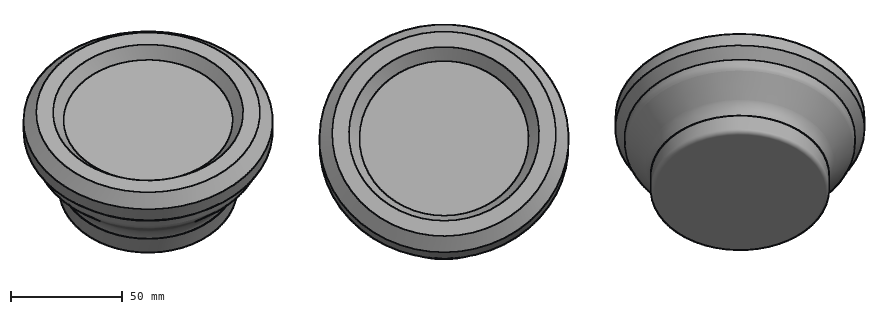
import cadquery as cq
import math

total_height = 50.0

foot_radius = 80.0 / 2
foot_height = 10.0
foot_fillet = 2.0
neck_radius = 79.6 / 2
neck_height = 1.0
flare_angle = math.radians(40)
neck_fillet = 10.0
rim_radius = 103.0 / 2
rim_fillet = 4.0
seat_height = 33.2
dish_depth = 5.0
dish_floor_radius = 37.8

ring_radius = 111.46 / 2
ring_top_inner_radius = 42.5
ring_top_outer_radius = 50.0
ring_band_bottom = 38.0
ring_band_top = 45.0

dish_floor_height = total_height - dish_depth


def make_base():
    """Revolved foot and flared bowl, with a boss that fills the ring's bore."""
    neck_top = foot_height + neck_height

    neck_arc_center = (neck_radius + neck_fillet, neck_top)

    def neck_arc_point(angle):
        r = neck_arc_center[0] - neck_fillet * math.cos(angle)
        return r, neck_top + neck_fillet * math.sin(angle)

    rim_arc_radius_center = rim_radius - rim_fillet
    flare_start = neck_arc_point(flare_angle)
    flare_end_radius = rim_arc_radius_center + rim_fillet * math.cos(flare_angle)
    flare_rise = (flare_end_radius - flare_start[0]) / math.tan(flare_angle)
    flare_end = (flare_end_radius, flare_start[1] + flare_rise)
    rim_arc_height = flare_end[1] + rim_fillet * math.sin(flare_angle)

    def rim_arc_point(angle):
        r = rim_arc_radius_center + rim_fillet * math.cos(angle)
        return r, rim_arc_height - rim_fillet * math.sin(angle)

    fillet_inset = foot_fillet * (1 - math.sqrt(0.5))
    return (
        cq.Workplane("XZ")
        .moveTo(0, 0)
        .lineTo(foot_radius - foot_fillet, 0)
        .threePointArc((foot_radius - fillet_inset, fillet_inset), (foot_radius, foot_fillet))
        .lineTo(foot_radius, foot_height)
        .lineTo(neck_radius, foot_height)
        .lineTo(neck_radius, neck_top)
        .threePointArc(neck_arc_point(flare_angle / 2), flare_start)
        .lineTo(*flare_end)
        .threePointArc(rim_arc_point(flare_angle / 2), rim_arc_point(0))
        .lineTo(rim_radius, seat_height)
        .lineTo(dish_floor_radius, seat_height)
        .lineTo(dish_floor_radius, dish_floor_height)
        .lineTo(0, dish_floor_height)
        .close()
        .revolve(360, (0, 0, 0), (0, 1, 0))
    )


def make_ring():
    """Revolved ring that sits on the base's seat, around its boss."""
    section = [
        (dish_floor_radius, seat_height),
        (rim_radius, seat_height),
        (ring_radius, ring_band_bottom),
        (ring_radius, ring_band_top),
        (ring_top_outer_radius, total_height),
        (ring_top_inner_radius, total_height),
        (dish_floor_radius, dish_floor_height),
    ]
    return cq.Workplane("XZ").polyline(section).close().revolve(360, (0, 0, 0), (0, 1, 0))


base = make_base()
ring = make_ring()

result = cq.Compound.makeCompound([base.val(), ring.val()])